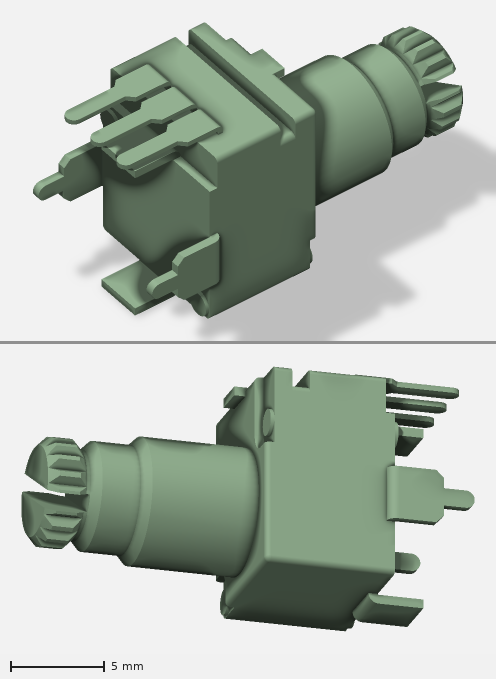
import cadquery as cq
import math


body_width = 9.5
body_top = 6.8
body_bottom = -4.4
body_rear = -6.75
edge_radius = 0.3
side_x = body_width / 2
body_middle_z = 0.07

slot_front = -1.5
slot_rear = -2.5
slot_depth = 1.0
slot_edge_radius = 0.35

lug_width = 2.0
lug_reach = 0.62
lug_thickness = 0.5

bushing_radius = 3.5
shaft_radius = 3.0
neck_radius = 2.5
bushing_length = 6.45
neck_start = 9.1
neck_end = 9.31
shaft_tip = 11.5
bushing_chamfer = bushing_radius - shaft_radius
shaft_chamfer = shaft_radius - neck_radius

tooth_count = 18
tooth_flat_width = 0.28
groove_radius = 2.51
driver_slot_width = 1.0
driver_slot_angle = 30

plate_thickness = 0.5
plate_top = 4.75
bend_inner_radius = 0.05
tab_width = 3.0
tab_length = 3.07
tab_corner_chamfer = 0.41
plate_rear = body_rear - plate_thickness
tab_end = body_rear - tab_length

pin_width = 1.0
pin_radius = pin_width / 2
pin_tip = shaft_tip - 23.05

terminal_thickness = 0.3
terminal_top = 7.35
terminal_front = -5.2
terminal_bend_radius = 0.37
terminal_width = 1.8
terminal_pitch = 2.3
terminal_taper_start = -7.55
terminal_taper_end = -7.95
terminal_embed = 0.23

rivet_radius = 0.74
rivet_head = 0.2
rivet_x = 3.96
rivet_z = 3.7
pocket_depth = 0.5
pocket_wall_x = 2.72
pocket_wall_z = 2.33
pocket_corner_radius = 1.04


def box(x_min, x_max, y_min, y_max, z_min, z_max):
    size = (x_max - x_min, y_max - y_min, z_max - z_min)
    return cq.Workplane("XY").box(*size, centered=False).translate((x_min, y_min, z_min))


def y_cylinder(radius, y_min, y_max, x=0, z=0):
    cylinder = cq.Workplane("XZ").circle(radius).extrude(y_min - y_max)
    return cylinder.translate((x, y_min, z))


def turned(profile):
    """Revolve (radius, y) points about the Y axis."""
    return cq.Workplane("XY").polyline(profile).close().revolve(360, (0, 0), (0, 1))


def make_body():
    body = box(-side_x, side_x, body_rear, 0, body_bottom, body_top)
    body = body.edges("|Y").fillet(edge_radius)
    body = body.faces(">Y").edges().fillet(edge_radius)

    slot_floor = body_top - slot_depth
    slot = box(-side_x, side_x, slot_rear, slot_front, slot_floor, body_top)
    rounded_bar = box(-side_x, side_x, slot_rear, slot_front, body_bottom, slot_floor)
    rounded_bar = rounded_bar.edges("|Y and >Z").fillet(slot_edge_radius)
    slot_band = box(-side_x, side_x, slot_rear, slot_front, 0, slot_floor)
    body = body.cut(slot).cut(slot_band.cut(rounded_bar))

    pocket_z = body_middle_z + pocket_wall_z
    upper_pocket = box(-side_x, -pocket_wall_x, -pocket_depth, 0, pocket_z, body_top)
    upper_pocket = upper_pocket.edges("|Y and >X and <Z").fillet(pocket_corner_radius)
    lower_pocket = upper_pocket.rotate((0, 0, body_middle_z), (0, 1, body_middle_z), 180)
    return body.cut(upper_pocket).cut(lower_pocket)


def make_lug():
    half_width = lug_width / 2
    return box(-half_width, half_width, -edge_radius, lug_reach, body_top - lug_thickness, body_top)


def make_bushing_and_shaft():
    core = turned([
        (0, -edge_radius),
        (bushing_radius, -edge_radius),
        (bushing_radius, bushing_length - bushing_chamfer),
        (shaft_radius, bushing_length),
        (shaft_radius, neck_start - shaft_chamfer),
        (neck_radius, neck_start),
        (neck_radius, shaft_tip),
        (0, shaft_tip),
    ])
    return core.union(make_knurl()).cut(make_driver_slot())


def make_knurl():
    blank = turned([
        (0, neck_end),
        (neck_radius, neck_end),
        (shaft_radius, neck_end + shaft_chamfer),
        (shaft_radius, shaft_tip - shaft_chamfer),
        (neck_radius, shaft_tip),
        (0, shaft_tip),
    ])
    pitch = 2 * math.pi / tooth_count
    half_flat = math.atan(tooth_flat_width / 2 / shaft_radius)
    crest_radius = shaft_radius / math.cos(half_flat)
    outline = []
    for tooth in range(tooth_count):
        centre = tooth * pitch
        corners = [
            (crest_radius, centre - half_flat),
            (crest_radius, centre + half_flat),
            (groove_radius, centre + pitch / 2),
        ]
        outline += [(r * math.cos(angle), r * math.sin(angle)) for r, angle in corners]
    star = cq.Workplane("XZ").polyline(outline).close().extrude(-shaft_tip)
    return blank.intersect(star)


def make_driver_slot():
    reach = 2 * shaft_radius
    half_width = driver_slot_width / 2
    slot = box(-reach, reach, neck_start, shaft_tip, -half_width, half_width)
    return slot.rotate((0, 0, 0), (0, 1, 0), -driver_slot_angle)


def bent_strip(front, edge, thickness, outer_radius, start, end, width):
    """Strip, `width` wide along X, that leaves its root along +Z and bends back to run along -Y.

    The root lies between `front` and `front - thickness` and starts at height `start`;
    `edge` is the top face of the run, which ends at y = `end`.
    """
    inner_radius = outer_radius - thickness
    centre_y = front - outer_radius
    centre_z = edge - outer_radius
    diagonal = math.sqrt(0.5)
    return (
        cq.Workplane("YZ")
        .moveTo(front, start)
        .lineTo(front, centre_z)
        .threePointArc(
            (centre_y + outer_radius * diagonal, centre_z + outer_radius * diagonal),
            (centre_y, edge),
        )
        .lineTo(end, edge)
        .lineTo(end, edge - thickness)
        .lineTo(centre_y, edge - thickness)
        .threePointArc(
            (centre_y + inner_radius * diagonal, centre_z + inner_radius * diagonal),
            (front - thickness, centre_z),
        )
        .lineTo(front - thickness, start)
        .close()
        .extrude(width / 2, both=True)
    )


def blade(half_width, taper_start, taper_end, shoulder_half_width, height):
    """Blank of a leg seen along Z: a wide part, tapered shoulders and a round-ended pin."""
    wide_part = (
        cq.Workplane("XY")
        .moveTo(-half_width, 0)
        .lineTo(-half_width, taper_start)
        .lineTo(-shoulder_half_width, taper_end)
        .lineTo(shoulder_half_width, taper_end)
        .lineTo(half_width, taper_start)
        .lineTo(half_width, 0)
        .close()
        .extrude(height)
    )
    round_y = pin_tip + pin_radius
    pin = box(-pin_radius, pin_radius, round_y, 0, 0, height)
    pin_end = cq.Workplane("XY").center(0, round_y).circle(pin_radius).extrude(height)
    return wide_part.union(pin).union(pin_end)


def make_plate_tab(plate_edge, end):
    """Tab bent back from a plate edge that is `plate_edge` above the X axis."""
    outer_radius = plate_thickness + bend_inner_radius
    top = plate_edge + outer_radius
    root = plate_edge - plate_thickness
    return bent_strip(body_rear, top, plate_thickness, outer_radius, root, end, tab_width)


def make_side_tab():
    tab = make_plate_tab(side_x, pin_tip)
    half_width = tab_width / 2
    shoulder = half_width - tab_corner_chamfer
    outline = blade(half_width, tab_end + tab_corner_chamfer, tab_end, shoulder, body_width)
    return tab.intersect(outline)


def make_back_plate():
    plate = box(-side_x, side_x, plate_rear, body_rear, body_bottom, plate_top)
    plate = plate.edges("|Y and <Z").fillet(edge_radius)
    plate = plate.union(make_plate_tab(plate_top, tab_end))
    plate = plate.union(make_plate_tab(-body_bottom, tab_end).rotate((0, 0, 0), (0, 1, 0), 180))
    for angle in (90, -90):
        side_tab = make_side_tab().rotate((0, 0, 0), (0, 1, 0), angle)
        plate = plate.union(side_tab.translate((0, 0, body_middle_z)))
    return plate


def make_terminal():
    strip = bent_strip(
        terminal_front,
        terminal_top,
        terminal_thickness,
        terminal_bend_radius,
        body_top - terminal_embed,
        pin_tip,
        terminal_width,
    )
    outline = blade(
        terminal_width / 2, terminal_taper_start, terminal_taper_end, pin_radius, terminal_top
    )
    return strip.intersect(outline)


def make_rivet(x, z):
    return y_cylinder(rivet_radius, plate_rear - rivet_head, rivet_head - pocket_depth, x, z)


result = make_body().union(make_lug()).union(make_bushing_and_shaft()).union(make_back_plate())
for position in (-1, 0, 1):
    result = result.union(make_terminal().translate((position * terminal_pitch, 0, 0)))
for side in (-1, 1):
    result = result.union(make_rivet(side * rivet_x, body_middle_z - side * rivet_z))